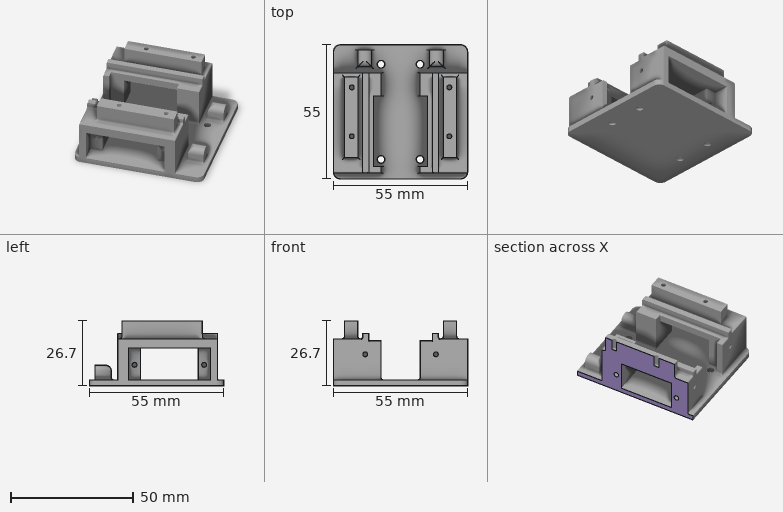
import cadquery as cq
import math

plate_size = 55.0
plate_thickness = 2.5
corner_radius = 2.95
screw_hole_diameter = 3.0
screw_hole_x = 8.0
screw_hole_y = 19.45

block_front_y = -24.95
block_back_y = 15.95
block_inner_x = 8.0
deck_top = 19.3
shelf_top = 18.6
lip_top = 21.55
lip_inner_x = 13.0
lip_outer_x = 15.5
lip_root_radius = 0.7
end_rounding = 0.45
inner_foot_radius = 0.95
end_foot_radius = 0.3

notch_wall_x = 11.0
notch_front_y = -22.45
notch_back_y = 6.5
pocket_depth = 6.65
pocket_front_y = -22.05
pocket_back_y = 11.4
opening_top = 15.45
passage_front_y = -17.0

rail_inner_x = 17.5
rail_width = 5.5
rail_front_y = -18.7
rail_back_y = 14.2
rail_top = 26.7
rail_foot_radius = 1.0

knob_center_x = 14.7
knob_width = 5.65
knob_front_y = 18.5
knob_back_y = 25.25
knob_top = 8.5
knob_rounding = 2.5
knob_foot_radius = 0.95

pin_hole_diameter = 2.0
pin_hole_depth = 5.0
rail_pin_x = 19.95
rail_pin_y = 10.0
end_pin_x = 14.45
end_pin_z = 12.9
post_pin_z = 8.65
post_pin_front_y = -19.45
post_pin_back_y = 9.0

half_size = plate_size / 2
pocket_floor_x = half_size - pocket_depth


def box(x_range, y_range, z_range):
    """Box between two limits along each axis."""
    size = [high - low for low, high in (x_range, y_range, z_range)]
    corner = (x_range[0], y_range[0], z_range[0])
    return cq.Workplane("XY").box(*size, centered=False).translate(corner)


def flared_profile(plane, low, high, bottom, top, low_radius, high_radius):
    """Upright rectangle whose foot may spread out in a concave quarter round on each side."""
    midpoint_share = 1 - math.sqrt(0.5)
    profile = cq.Workplane(plane).moveTo(low - low_radius, bottom).lineTo(high + high_radius, bottom)
    if high_radius:
        middle = (high + high_radius * midpoint_share, bottom + high_radius * midpoint_share)
        profile = profile.threePointArc(middle, (high, bottom + high_radius))
    profile = profile.lineTo(high, top).lineTo(low, top)
    if low_radius:
        profile = profile.lineTo(low, bottom + low_radius)
        middle = (low - low_radius * midpoint_share, bottom + low_radius * midpoint_share)
        profile = profile.threePointArc(middle, (low - low_radius, bottom))
    return profile.close()


def flared_block(x_range, y_range, z_range, x_radii, y_radii):
    """Block whose four foot flares meet in mitred corners."""
    along_x = flared_profile("XZ", *x_range, *z_range, *x_radii).extrude(plate_size, both=True)
    along_y = flared_profile("YZ", *y_range, *z_range, *y_radii).extrude(plate_size, both=True)
    return along_x.intersect(along_y)


def make_plate(height):
    """Slab with the rounded square outline of the plate."""
    slab = cq.Workplane("XY").rect(plate_size, plate_size).extrude(height)
    return slab.edges("|Z").fillet(corner_radius)


def make_bracket_body():
    """Stepped block with a lip along its top and rounded upper end edges."""
    body = (
        cq.Workplane("XZ", origin=(0, block_back_y, 0))
        .moveTo(block_inner_x, plate_thickness)
        .lineTo(half_size, plate_thickness)
        .lineTo(half_size, deck_top)
        .lineTo(lip_outer_x, deck_top)
        .lineTo(lip_outer_x, lip_top)
        .lineTo(lip_inner_x, lip_top)
        .lineTo(lip_inner_x, shelf_top)
        .lineTo(block_inner_x, shelf_top)
        .close()
        .extrude(block_back_y - block_front_y)
    )
    top_end_edges = body.faces("<Y or >Y").edges("|X").edges("not <Z")
    body = top_end_edges.fillet(end_rounding)
    lip_root = (lip_outer_x, (block_front_y + block_back_y) / 2, deck_top)
    body = body.edges(cq.NearestToPointSelector(lip_root)).fillet(lip_root_radius)
    foot_height = 2 * inner_foot_radius
    foot = flared_block(
        (block_inner_x, half_size),
        (block_front_y, block_back_y),
        (plate_thickness, plate_thickness + foot_height),
        (inner_foot_radius, 0),
        (end_foot_radius, end_foot_radius),
    )
    return body.union(foot).intersect(make_plate(rail_top))


def make_bracket():
    """Bracket block hollowed from both sides, with its rail on top."""
    notch = box((0, notch_wall_x), (notch_front_y, notch_back_y), (plate_thickness, lip_top))
    opening_height = (plate_thickness, opening_top)
    pocket = box((pocket_floor_x, half_size), (pocket_front_y, pocket_back_y), opening_height)
    passage = box((0, half_size), (passage_front_y, notch_back_y), opening_height)
    rail = flared_block(
        (rail_inner_x, rail_inner_x + rail_width),
        (rail_front_y, rail_back_y),
        (deck_top, rail_top),
        (rail_foot_radius, rail_foot_radius),
        (rail_foot_radius, rail_foot_radius),
    )
    return make_bracket_body().cut(notch).cut(pocket).cut(passage).union(rail)


def pin_hole(mouth, direction):
    """Blind round hole that starts at its mouth and runs along a direction."""
    radius = pin_hole_diameter / 2
    drill = cq.Solid.makeCylinder(radius, pin_hole_depth, cq.Vector(mouth), cq.Vector(direction))
    return cq.Workplane(drill)


def make_knob():
    """Upright stub rounded over on three sides and flat at the back."""
    x_range = (knob_center_x - knob_width / 2, knob_center_x + knob_width / 2)
    stub = flared_block(
        x_range,
        (knob_front_y, knob_back_y),
        (plate_thickness, knob_top),
        (knob_foot_radius, knob_foot_radius),
        (knob_foot_radius, 0),
    )
    return stub.faces(">Z").edges("|Y or <Y").fillet(knob_rounding)


def make_side():
    """Everything that stands on the +X half of the plate."""
    side = make_bracket()
    for y in (-rail_pin_y, rail_pin_y):
        side = side.cut(pin_hole((rail_pin_x, y, rail_top), (0, 0, -1)))
    side = side.cut(pin_hole((end_pin_x, block_front_y, end_pin_z), (0, 1, 0)))
    for y in (post_pin_front_y, post_pin_back_y):
        side = side.cut(pin_hole((pocket_floor_x, y, post_pin_z), (-1, 0, 0)))
    return side.union(make_knob())


plate = (
    make_plate(plate_thickness)
    .faces(">Z")
    .workplane()
    .rect(2 * screw_hole_x, 2 * screw_hole_y, forConstruction=True)
    .vertices()
    .hole(screw_hole_diameter)
)
side = make_side()
result = plate.union(side).union(side.mirror("YZ"))